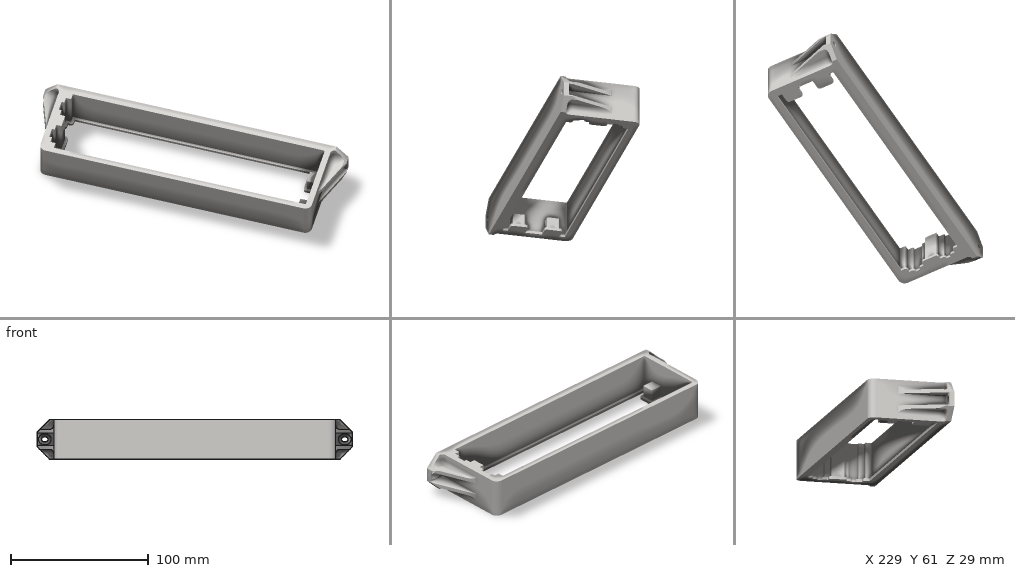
import cadquery as cq

total_length = 229.0
depth = 61.0
height = 29.0
end_x = total_length / 2
mid_z = height / 2

body_length = 205.0
body_end_x = body_length / 2
front_corner_radius = 5.0

front_wall = 4.1
back_wall = 6.0
left_wall = 10.3
right_wall = 4.4
pocket_left = -body_end_x + left_wall
pocket_right = body_end_x - right_wall
pocket_front = front_wall
pocket_back = depth - back_wall
pocket_corner_radius = 1.0

ledge_width = 2.0
ledge_thickness = 2.0

station_spacing = 25.6
station_mid_y = (pocket_front + pocket_back) / 2
station_ys = [station_mid_y - station_spacing / 2, station_mid_y + station_spacing / 2]
notch_width = 16.0
notch_depth = 4.0
inner_notch_width = 7.3
inner_notch_depth = 6.0
block_width = 9.0
block_length = 9.0
block_height = 9.0
block_edge_radius = 0.5
notch_x = pocket_left - notch_depth
inner_notch_x = pocket_left - inner_notch_depth
block_left = pocket_right - block_length
block_top = ledge_thickness + block_height

ear_plate_thickness = 4.0
ear_chamfer = 9.2
ear_slope_back_y = 54.5
ear_slope_front_y = 21.8
rib_gap = 9.0
rib_thickness = 2.7
rib_fillet = 3.0
rib_outer_offset = rib_gap / 2 + rib_thickness
plate_front_y = depth - ear_plate_thickness

slot_x = 109.0
slot_travel = 1.4
slot_width = 3.2
countersink_width = 7.8
countersink_angle = 45
countersink_depth = (countersink_width - slot_width) / 2


def box(x_min, x_max, y_min, y_max, z_min, z_max):
    """Axis-aligned box given by its limits."""
    size = (x_max - x_min, y_max - y_min, z_max - z_min)
    return cq.Workplane("XY", origin=(x_min, y_min, z_min)).box(*size, centered=False)


def make_body():
    body = box(-body_end_x, body_end_x, 0, depth, 0, height)
    return body.edges("|Z and <Y").fillet(front_corner_radius)


def pocket_outline(with_blocks):
    """Pocket profile running anticlockwise, with the notches and, if asked, stepping around the blocks."""
    outline = [(pocket_left, pocket_front), (pocket_right, pocket_front)]
    if with_blocks:
        for y in station_ys:
            outline += [
                (pocket_right, y - block_width / 2),
                (block_left, y - block_width / 2),
                (block_left, y + block_width / 2),
                (pocket_right, y + block_width / 2),
            ]
    outline += [(pocket_right, pocket_back), (pocket_left, pocket_back)]
    for y in reversed(station_ys):
        outline += [
            (pocket_left, y + notch_width / 2),
            (notch_x, y + notch_width / 2),
            (notch_x, y + inner_notch_width / 2),
            (inner_notch_x, y + inner_notch_width / 2),
            (inner_notch_x, y - inner_notch_width / 2),
            (notch_x, y - inner_notch_width / 2),
            (notch_x, y - notch_width / 2),
            (pocket_left, y - notch_width / 2),
        ]
    return outline


def make_pocket(with_blocks, z_min, z_max):
    """One level of the pocket, with its right-hand corners rounded."""
    outline = pocket_outline(with_blocks)
    pocket = cq.Workplane("XY", origin=(0, 0, z_min)).polyline(outline).close().extrude(z_max - z_min)
    return pocket.edges("|Z").edges(">X").edges("<Y or >Y").fillet(pocket_corner_radius)


def make_block_pocket():
    """Lower level of the pocket, rounded along the upright edges and roots of the blocks."""
    pocket = make_pocket(True, ledge_thickness, block_top)
    right_edges = pocket.edges("|Z").edges(cq.selectors.BoxSelector(
        (block_left - block_edge_radius, station_ys[0] - block_width / 2 - block_edge_radius, 0),
        (body_end_x, station_ys[1] + block_width / 2 + block_edge_radius, height),
    ))
    return right_edges.fillet(block_edge_radius)


def make_ledge_opening():
    """Through opening that leaves an even ledge inside the pocket outline."""
    outline = cq.Workplane("XY").polyline(pocket_outline(True)).close()
    return outline.offset2D(-ledge_width, "arc").extrude(block_top)


def make_rib_recess():
    """Space above the upper rib, rounded where it meets the rib, the plate and the body."""
    recess = box(body_end_x, 2 * end_x, -depth, plate_front_y, mid_z + rib_outer_offset, 2 * height)
    wall_to_plate = recess.edges("|Z and <X and >Y")
    return wall_to_plate.add(recess.edges("<X and <Z")).add(recess.edges(">Y and <Z")).fillet(rib_fillet)


def make_screw_slot():
    """Slot through the plate with a tapered countersink on its front side."""
    plane = cq.Plane(origin=(slot_x, plate_front_y, mid_z), xDir=(1, 0, 0), normal=(0, 1, 0))
    through = cq.Workplane(plane).slot2D(slot_width + slot_travel, slot_width).extrude(ear_plate_thickness)
    countersink = (
        cq.Workplane(plane)
        .slot2D(countersink_width + slot_travel, countersink_width)
        .extrude(countersink_depth, taper=countersink_angle)
    )
    return through.union(countersink)


def make_right_ear():
    """Plate with two sloping ribs, corners chamfered, and a countersunk slot between the ribs."""
    ear = (
        cq.Workplane("XY")
        .moveTo(body_end_x, depth)
        .lineTo(end_x, depth)
        .lineTo(end_x, ear_slope_back_y)
        .lineTo(body_end_x, ear_slope_front_y)
        .close()
        .extrude(height)
    )
    chamfered = (
        cq.Workplane("XZ")
        .moveTo(body_end_x, 0)
        .lineTo(end_x - ear_chamfer, 0)
        .lineTo(end_x, ear_chamfer)
        .lineTo(end_x, height - ear_chamfer)
        .lineTo(end_x - ear_chamfer, height)
        .lineTo(body_end_x, height)
        .close()
        .extrude(-depth)
    )
    upper_recess = make_rib_recess()
    lower_recess = upper_recess.mirror("XY", (0, 0, mid_z))
    gap = box(body_end_x, end_x, 0, plate_front_y, mid_z - rib_gap / 2, mid_z + rib_gap / 2)
    ear = ear.intersect(chamfered).cut(upper_recess).cut(lower_recess).cut(gap)
    return ear.cut(make_screw_slot())


frame = make_body().cut(make_ledge_opening()).cut(make_block_pocket())
frame = frame.cut(make_pocket(False, block_top, height))
right_ear = make_right_ear()
left_ear = right_ear.mirror("YZ")
result = frame.union(right_ear).union(left_ear)